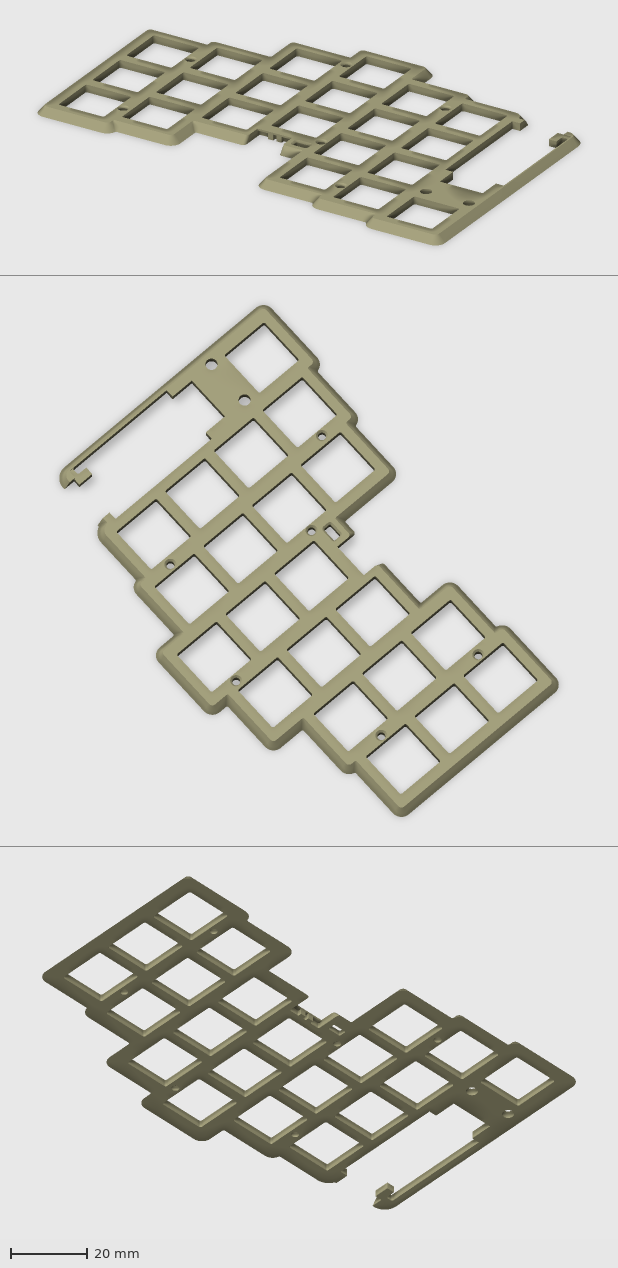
import cadquery as cq
import math

length = 131.8
thickness = 2.2
edge_inset = 1.8

column_count = 7
key_pitch_x = 108.0 / (column_count - 1)
key_pitch_y = 17.0
key_size = 14.0
key_corner = 0.5
border = (length - column_count * key_pitch_x) / 2
bottom_key_y = key_pitch_y / 2 + border

small_step = 2.5
fourth_column_rise = 30.0
third_column_rise = fourth_column_rise - 5.5
second_column_rise = third_column_rise - 10.5
column_rises = [
    second_column_rise - small_step,
    second_column_rise,
    third_column_rise,
    fourth_column_rise,
    2 * small_step,
    small_step,
    0.0,
]
column_rows = [3, 3, 3, 3, 4, 4, 4]
column_corners = [border] * 5 + [4.1, 4.1]
column_keys = [3, 3, 3, 3, 4, 4, 1]
inner_corner = 0.7

notch_center_x = 62.2
notch_width = 10.5
notch_top = 31.1
notch_corner = 0.8
tooth_width = 1.6
tooth_spacing = 2.6
undercut_depth = 1.0
undercut_height = 1.7
undercut_corner = 0.4

port_center = (71.5, 29.4)
port_length = 4.2
port_width = 2.2
port_corner = 0.4
port_flare = 0.5

screw_diameter = 2.1
screw_head_diameter = 3.2
screw_head_angle = 90
screw_centers = [(20.6, 57.0), (20.6, 23.1), (57.1, 75.5), (75.3, 33.2), (92.7, 67.2), (93.2, 13.8)]
pin_diameter = 3.2
pin_y = 22.5

bay_center_x = 120.6
bay_narrow_width = 13.2
bay_wide_width = 17.9
bay_bottom = 29.4
bay_shoulder = 36.1
bay_top = 69.7
pin_spacing = bay_narrow_width

latch_height = 2.0
latch_left = 125.1
latch_bottom = 66.0
latch_top = 70.5
finger_thickness = 2.4
arm_thickness = 1.6
latch_corner = 0.5
latch_step_y = 70.1


def column_x(column):
    return border + (column + 0.5) * key_pitch_x


def key_y(column, row):
    return bottom_key_y + column_rises[column] + row * key_pitch_y


def cell_bottom(column):
    return key_y(column, 0) - key_pitch_y / 2


def cell_top(column):
    return cell_bottom(column) + column_rows[column] * key_pitch_y


def box(left, right, bottom, top, height):
    """Block standing on Z = 0."""
    block = cq.Workplane("XY").box(right - left, top - bottom, height, centered=False)
    return block.translate((left, bottom, 0))


def sloped_block(left, right, bottom, top, upper_right_corner=border):
    """Rounded block around a group of key cells, leaning inward from bottom to top."""
    taper = math.degrees(math.atan(edge_inset / thickness))
    outline = (
        cq.Sketch()
        .rect(right - left + 2 * border, top - bottom + 2 * border)
        .vertices(">X and >Y")
        .fillet(upper_right_corner)
        .reset()
        .vertices("<X or <Y")
        .fillet(border)
    )
    center = ((left + right) / 2, (bottom + top) / 2, 0)
    return cq.Workplane("XY").placeSketch(outline).extrude(thickness, taper=taper).translate(center)


def column_block(column):
    left = column_x(column) - key_pitch_x / 2
    bottom = cell_bottom(column)
    top = cell_top(column)
    return sloped_block(left, left + key_pitch_x, bottom, top, column_corners[column])


def key_openings():
    centers = [
        (column_x(column), key_y(column, row))
        for column in range(column_count)
        for row in range(column_keys[column])
    ]
    return (
        cq.Workplane("XY")
        .pushPoints(centers)
        .rect(key_size, key_size)
        .extrude(thickness)
        .edges("|Z")
        .fillet(key_corner)
    )


def rim_corner_edges(body, corners):
    """Sloping edges of the rim that pass each (x, y) corner at half the plate thickness."""
    edges = []
    for x, y in corners:
        middle = cq.Vector(x, y, thickness / 2)
        edges.append(min(body.edges().vals(), key=lambda edge: edge.Center().sub(middle).Length))
    return body.newObject(edges)


def round_inner_corners(body):
    """Fillet the rim where a column's end meets the side of its longer neighbour."""
    mid_border = border - edge_inset / 2
    bottoms = [cell_bottom(column) for column in range(column_count)]
    bottoms[3] = bottoms[2]
    tops = [cell_top(column) for column in range(column_count)]
    corners = []
    for column in range(column_count - 1):
        joint_x = column_x(column) + key_pitch_x / 2
        if tops[column] != tops[column + 1]:
            toward_short = -1 if tops[column] < tops[column + 1] else 1
            corner_y = min(tops[column], tops[column + 1]) + mid_border
            corners.append((joint_x + toward_short * mid_border, corner_y))
        if bottoms[column] != bottoms[column + 1]:
            toward_short = -1 if bottoms[column] > bottoms[column + 1] else 1
            corner_y = max(bottoms[column], bottoms[column + 1]) - mid_border
            corners.append((joint_x + toward_short * mid_border, corner_y))
    return rim_corner_edges(body, corners).fillet(inner_corner)


def cut_connector_notch(body):
    """Open notch with rounded mouth edges."""
    left = notch_center_x - notch_width / 2
    right = notch_center_x + notch_width / 2
    mouth = cell_bottom(2) - border
    body = body.cut(box(left, right, mouth, notch_top, thickness))
    mouth_corners = [(x, mouth + edge_inset / 2) for x in (left, right)]
    return rim_corner_edges(body, mouth_corners).fillet(notch_corner)


def notch_undercut():
    """Three round-cornered pockets under the notch's back wall, with a tooth left between each two."""
    half_notch = notch_width / 2
    tooth_inner = (tooth_spacing - tooth_width) / 2
    tooth_outer = (tooth_spacing + tooth_width) / 2
    spans = [(-half_notch, -tooth_outer), (-tooth_inner, tooth_inner), (tooth_outer, half_notch)]
    pockets = cq.Workplane("XY")
    for start, end in spans:
        pocket = box(notch_center_x + start, notch_center_x + end,
                     notch_top, notch_top + undercut_depth, undercut_height)
        pockets = pockets.add(pocket.edges("|Z and >Y").fillet(undercut_corner))
    return pockets.combine()


def port_opening():
    opening = (
        cq.Workplane("XY")
        .rect(port_length, port_width)
        .extrude(thickness)
        .edges("|Z")
        .fillet(port_corner)
    )
    flare_bottom = thickness - port_flare
    flare_outline = cq.Sketch().rect(port_length, port_width).vertices().fillet(port_corner)
    flare = (
        cq.Workplane("XY")
        .workplane(offset=flare_bottom)
        .placeSketch(flare_outline)
        .extrude(port_flare, taper=-45)
    )
    return opening.union(flare).translate((*port_center, 0))


def screw_holes(body):
    return (
        body.faces(">Z")
        .workplane(origin=(0, 0, thickness))
        .pushPoints(screw_centers)
        .cskHole(screw_diameter, screw_head_diameter, screw_head_angle)
    )


def pin_holes():
    centers = [(bay_center_x + side * pin_spacing / 2, pin_y) for side in (-1, 1)]
    return cq.Workplane("XY").pushPoints(centers).circle(pin_diameter / 2).extrude(thickness)


def module_bay():
    """Wide bay with a narrower neck at each end; the upper neck is open to the rim."""
    rim = cell_top(column_count - 1) + border
    half_narrow = bay_narrow_width / 2
    half_wide = bay_wide_width / 2
    neck = box(bay_center_x - half_narrow, bay_center_x + half_narrow, bay_bottom, rim, thickness)
    bay = box(bay_center_x - half_wide, bay_center_x + half_wide, bay_shoulder, bay_top, thickness)
    latch_step = box(bay_center_x, bay_center_x + half_wide, bay_top, latch_step_y, thickness)
    return neck.union(bay).union(latch_step)


def latch():
    """Low hook reaching from the beam into the bay and turning down along it."""
    beam_x = bay_center_x + bay_wide_width / 2
    finger_right = latch_left + finger_thickness
    arm_bottom = latch_top - arm_thickness
    hook = box(latch_left, beam_x, latch_bottom, latch_top, latch_height)
    gap = box(finger_right, beam_x, latch_bottom, arm_bottom, latch_height)
    return hook.cut(gap.edges("|Z and >Y").fillet(latch_corner))


plate = column_block(0)
for column in range(1, column_count):
    plate = plate.union(column_block(column))
bridge = sloped_block(column_x(2), column_x(4), cell_bottom(2), key_y(3, 0))
plate = plate.union(bridge)
plate = round_inner_corners(plate)

plate = cut_connector_notch(plate)
plate = plate.cut(notch_undercut())
plate = plate.cut(key_openings())
plate = plate.cut(port_opening())
plate = plate.cut(pin_holes())
plate = plate.cut(module_bay())
plate = screw_holes(plate)
result = plate.union(latch())